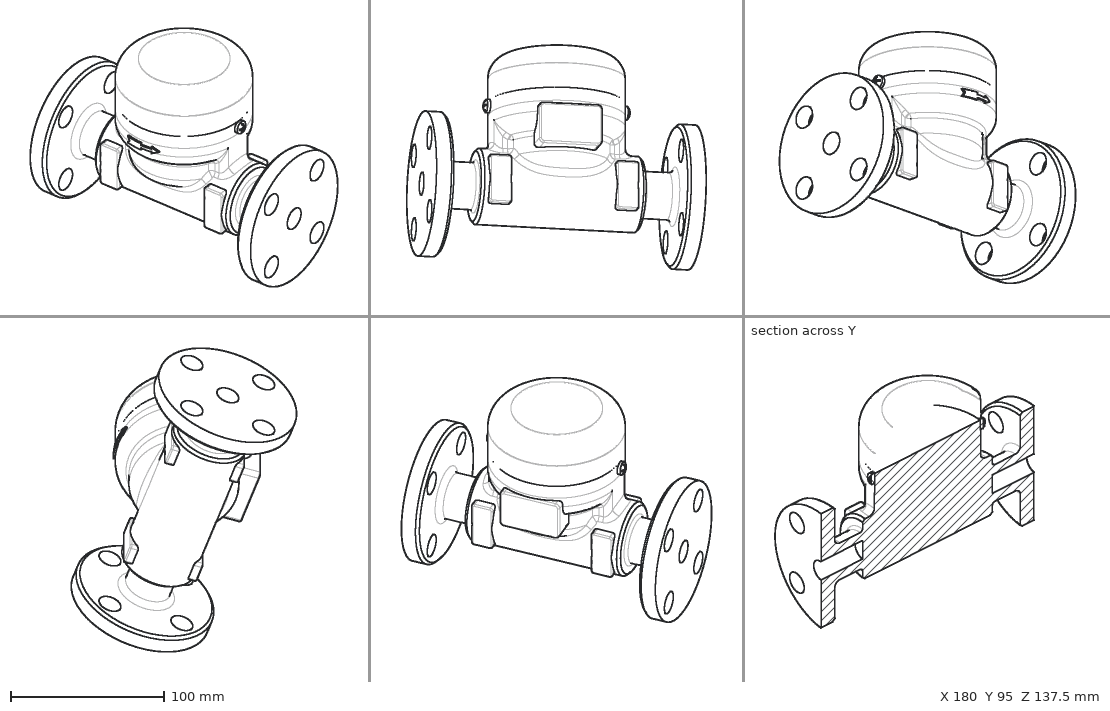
import cadquery as cq
import math

face_to_face = 180.0

flange_diameter = 95.0
flange_thickness = 12.0
flange_rim_chamfer = 2.0
bolt_circle_diameter = 70.0
bolt_hole_diameter = 15.0
bolt_hole_count = 4
bolt_hole_start_angle = 45.0
bore_diameter = 15.0
nozzle_diameter = 31.0
nozzle_flange_fillet = 4.0
nozzle_barrel_fillet = 2.0

barrel_diameter = 50.0
barrel_length = 110.0
barrel_end_chamfer = 2.0
bore_depth = (face_to_face - barrel_length) / 2

cap_diameter = 90.0
cap_top = 90.0
cap_bottom = 49.6
cap_round = 15.0
cap_inner_diameter = 88.6
cap_wall = (cap_diameter - cap_inner_diameter) / 2
cavity_floor = 58.4

bowl_diameter = 72.0
bowl_bottom = 8.0
bowl_bottom_round = 10.0
bowl_shoulder = 42.7
shoulder_round = 12.0
neck_fillet = 3.5

column_width = 28.0
column_corner_round = 5.0
column_bowl_fillet = 4.0
barrel_top_fillet = 4.5
column_shoulder_fillet = 3.0

side_pad_width = 15.0
side_pad_height = 32.0
side_pad_center_x = 42.4
side_pad_face = barrel_diameter / 2 + 0.1
side_pad_corner_round = 2.0
side_pad_edge_round = 1.0

name_pad_width = 42.0
name_pad_bottom = 20.4
name_pad_top = 47.5
name_pad_face = 46.0
name_pad_corner_round = 3.0
name_pad_edge_round = 1.2

arrow_length = 25.4
arrow_height = 5.0
arrow_center_z = 45.0
arrow_face = 46.2
arrow_root = 1.0
arrow_head_length = 5.2
arrow_tail_length = 12.2
arrow_notch = 2.0
arrow_shaft_height = 2.2

screw_diameter = 9.0
screw_center_z = 54.5
screw_rim_height = 1.9
screw_head_height = 4.0
recess_length = 6.0
recess_width = 0.8
recess_depth = 1.5

cap_radius = cap_diameter / 2
bowl_radius = bowl_diameter / 2
barrel_radius = barrel_diameter / 2
end_signs = (-1, 1)
tolerance = 0.02


def x_cylinder(diameter, start, length):
    return cq.Workplane("YZ").workplane(offset=start).circle(diameter / 2).extrude(length)


def make_bowl():
    """Revolved bowl whose shoulder curves in and then out again onto the bowl wall."""
    shoulder_center = cap_radius - shoulder_round
    neck_center = bowl_radius + neck_fillet
    turn = math.acos((neck_center - shoulder_center) / (shoulder_round + neck_fillet))
    neck_z = bowl_shoulder - (shoulder_round + neck_fillet) * math.sin(turn)

    def on_shoulder(angle):
        return (
            shoulder_center + shoulder_round * math.cos(angle),
            bowl_shoulder - shoulder_round * math.sin(angle),
        )

    def on_neck(angle):
        return (
            neck_center - neck_fillet * math.cos(angle),
            neck_z + neck_fillet * math.sin(angle),
        )

    floor_center = bowl_radius - bowl_bottom_round
    floor_z = bowl_bottom + bowl_bottom_round
    diagonal = bowl_bottom_round * math.sqrt(0.5)
    return (
        cq.Workplane("XZ")
        .moveTo(0, bowl_bottom)
        .lineTo(floor_center, bowl_bottom)
        .threePointArc((floor_center + diagonal, floor_z - diagonal), (bowl_radius, floor_z))
        .lineTo(bowl_radius, neck_z)
        .threePointArc(on_neck(turn / 2), on_neck(turn))
        .threePointArc(on_shoulder(turn / 2), on_shoulder(0))
        .lineTo(cap_radius, cap_bottom)
        .lineTo(0, cap_bottom)
        .close()
        .revolve(360, (0, 0, 0), (0, 1, 0))
    )


def make_columns():
    """Bowl wall blended into the two columns that stand flush with the cap."""
    slab = cq.Workplane("XY").rect(2 * cap_diameter, column_width).extrude(cap_bottom)
    columns = slab.intersect(cq.Workplane("XY").circle(cap_radius).extrude(cap_bottom))
    columns = columns.edges("|Z").fillet(column_corner_round)
    wall = columns.union(cq.Workplane("XY").circle(bowl_radius).extrude(cap_bottom))
    wall = wall.edges("|Z").edges(
        cq.selectors.BoxSelector(
            (-bowl_radius, -column_width, 0),
            (bowl_radius, column_width, cap_bottom),
        )
    ).fillet(column_bowl_fillet)
    under_wall = cq.Workplane("XY").rect(2 * cap_diameter, cap_diameter).extrude(
        bowl_bottom + bowl_bottom_round
    )
    return wall.cut(under_wall.cut(slab))


def is_on_barrel(edge):
    """True for an edge that lies on the top half of the barrel's round surface."""
    points = [edge.positionAt(place) for place in (0.1, 0.5, 0.9)]
    return all(
        abs(math.hypot(point.y, point.z) - barrel_radius) < tolerance
        and point.z > tolerance
        and abs(point.x) < barrel_length / 2 - tolerance
        for point in points
    )


def is_under_shoulder(edge):
    """True for a sloping edge where a column runs up into the bowl's shoulder."""
    box = edge.BoundingBox()
    return (
        box.zmin > barrel_radius
        and box.zmax < bowl_shoulder + tolerance
        and box.zlen > 10 * tolerance
        and box.ylen < column_width / 2
    )


def make_core():
    """Barrel, bowl and columns, with a fillet all round where they meet the barrel."""
    bowl = make_bowl()
    barrel = x_cylinder(barrel_diameter, -barrel_length / 2, barrel_length)
    lower_part = cq.Workplane("XY").circle(bowl_radius).extrude(barrel_radius + barrel_top_fillet)
    lower_bowl = bowl.intersect(lower_part)
    core = make_columns().union(lower_bowl).union(barrel)
    joint_edges = [edge for edge in core.edges().vals() if is_on_barrel(edge)]
    core = core.newObject(joint_edges).fillet(barrel_top_fillet)
    core = core.union(bowl)
    shoulder_edges = [edge for edge in core.edges().vals() if is_under_shoulder(edge)]
    core = core.newObject(shoulder_edges).fillet(column_shoulder_fillet)
    return core.faces("<X or >X").edges().chamfer(barrel_end_chamfer)


def make_flanged_nozzle():
    """Flange, nozzle and the fillets at both ends of the nozzle, for the -X end."""
    flange_x = -face_to_face / 2
    nozzle_x = flange_x + flange_thickness
    barrel_x = -barrel_length / 2
    nozzle_radius = nozzle_diameter / 2
    flange_radius = flange_diameter / 2
    flange_fillet_mid = nozzle_flange_fillet * (1 - math.sqrt(0.5))
    barrel_fillet_mid = nozzle_barrel_fillet * (1 - math.sqrt(0.5))
    return (
        cq.Workplane("XY")
        .moveTo(flange_x, 0)
        .lineTo(flange_x, flange_radius)
        .lineTo(nozzle_x - flange_rim_chamfer, flange_radius)
        .lineTo(nozzle_x, flange_radius - flange_rim_chamfer)
        .lineTo(nozzle_x, nozzle_radius + nozzle_flange_fillet)
        .threePointArc(
            (nozzle_x + flange_fillet_mid, nozzle_radius + flange_fillet_mid),
            (nozzle_x + nozzle_flange_fillet, nozzle_radius),
        )
        .lineTo(barrel_x - nozzle_barrel_fillet, nozzle_radius)
        .threePointArc(
            (barrel_x - barrel_fillet_mid, nozzle_radius + barrel_fillet_mid),
            (barrel_x, nozzle_radius + nozzle_barrel_fillet),
        )
        .lineTo(barrel_x, 0)
        .close()
        .revolve(360, (0, 0, 0), (1, 0, 0))
    )


def make_flange_holes():
    """Bolt holes through the -X flange and the blind bore behind its face."""
    flange_face = cq.Workplane("YZ").workplane(offset=-face_to_face / 2)
    bolt_holes = (
        flange_face.polarArray(bolt_circle_diameter / 2, bolt_hole_start_angle, 360, bolt_hole_count)
        .circle(bolt_hole_diameter / 2)
        .extrude(flange_thickness)
    )
    bore = flange_face.circle(bore_diameter / 2).extrude(bore_depth)
    return bolt_holes.union(bore)


def make_side_pad(sign_x, sign_y):
    pad = cq.Workplane("XY").box(side_pad_width, side_pad_face, side_pad_height)
    pad = pad.edges("|Y").fillet(side_pad_corner_round)
    pad = pad.faces(">Y" if sign_y > 0 else "<Y").edges().fillet(side_pad_edge_round)
    return pad.translate((sign_x * side_pad_center_x, sign_y * side_pad_face / 2, 0))


def make_name_pad():
    height = name_pad_top - name_pad_bottom
    pad = cq.Workplane("XY").box(name_pad_width, name_pad_face, height)
    pad = pad.edges("|Y").fillet(name_pad_corner_round)
    pad = pad.faces(">Y").edges().fillet(name_pad_edge_round)
    return pad.translate((0, name_pad_face / 2, (name_pad_top + name_pad_bottom) / 2))


def make_flow_arrow():
    """Arrow along +X, raised from the bowl with a face concentric with the cap."""
    tail = -arrow_length / 2
    tip = arrow_length / 2
    head = tip - arrow_head_length
    step = tail + arrow_tail_length
    half = arrow_height / 2
    shaft = arrow_shaft_height / 2
    outline = [
        (tail, half),
        (step, half),
        (step, shaft),
        (head, shaft),
        (head, half),
        (tip, 0),
        (head, -half),
        (head, -shaft),
        (step, -shaft),
        (step, -half),
        (tail, -half),
        (tail + arrow_notch, 0),
    ]
    prism = cq.Workplane("XZ").polyline(outline).close().extrude(arrow_face)
    ring = cq.Workplane("XY").circle(arrow_face).circle(cap_radius - arrow_root)
    band = ring.extrude(arrow_height)
    prism = prism.translate((0, 0, arrow_center_z))
    return prism.intersect(band.translate((0, 0, arrow_center_z - half)))


def make_cap():
    """Thin hollow cap with a rounded top; below the cavity floor it is solid."""
    shell = cq.Workplane("XY").workplane(offset=cap_bottom).circle(cap_radius)
    shell = shell.extrude(cap_top - cap_bottom).faces(">Z").edges().fillet(cap_round)
    hollow = cq.Workplane("XY").workplane(offset=cavity_floor).circle(cap_inner_diameter / 2)
    hollow = hollow.extrude(cap_top - cap_wall - cavity_floor)
    hollow = hollow.faces(">Z").edges().fillet(cap_round - cap_wall)
    return shell.cut(hollow)


def make_housing():
    housing = make_core()
    nozzle = make_flanged_nozzle()
    housing = housing.union(nozzle).union(nozzle.mirror("YZ"))
    for sign_x in end_signs:
        for sign_y in end_signs:
            housing = housing.union(make_side_pad(sign_x, sign_y))
    housing = housing.union(make_name_pad()).union(make_flow_arrow())
    holes = make_flange_holes()
    housing = housing.cut(holes).cut(holes.mirror("YZ"))
    return housing.union(make_cap(), clean=False)


def make_screw(sign):
    """Domed head with a cross recess, seated on the round side of the cap."""
    radius = screw_diameter / 2
    rim = cap_radius + screw_rim_height
    top = cap_radius + screw_head_height
    sagitta = top - rim
    dome_radius = (radius**2 + sagitta**2) / (2 * sagitta)
    head = (
        cq.Workplane("XY")
        .lineTo(top, 0)
        .radiusArc((rim, radius), -dome_radius)
        .lineTo(0, radius)
        .close()
        .revolve(360, (0, 0, 0), (1, 0, 0))
    )
    for size_y, size_z in ((recess_length, recess_width), (recess_width, recess_length)):
        slot = cq.Workplane("XY").box(2 * recess_depth, size_y, size_z)
        head = head.cut(slot.translate((top, 0, 0)))
    head = head.translate((0, 0, screw_center_z))
    head = head.cut(cq.Workplane("XY").circle(cap_radius).extrude(cap_top))
    return head if sign > 0 else head.mirror("YZ")


housing = make_housing()
screws = [make_screw(sign) for sign in end_signs]
result = cq.Compound.makeCompound([housing.val(), *[screw.val() for screw in screws]])